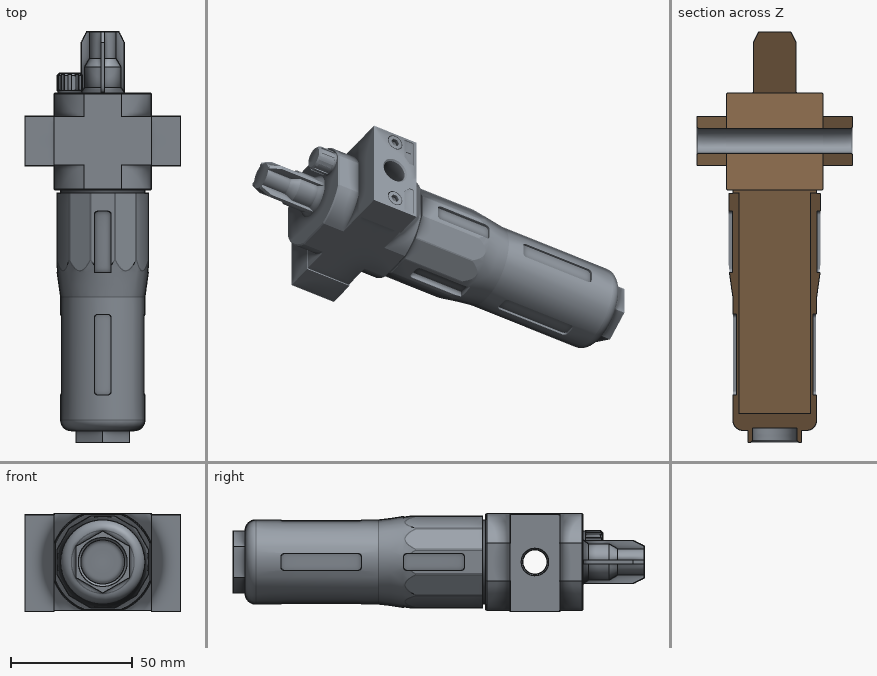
import cadquery as cq
import math


housing_size = 39.9
housing_flat = 15.5
housing_top = 59.3
housing_bottom = 19.3
housing_chamfer = 0.5
housing_middle_width = 20.0

plate_outer_x = 32.03
plate_width = 20.5
plate_drop = 0.5
plate_y = 39.5
port_diameter = 10.0
port_chamfer = 0.7

screw_spacing = 29.9
counterbore_diameter = 7.0
head_diameter = 6.3
head_height = 4.0
shank_diameter = 4.0
shank_length = 13.5
socket_width = 3.2
socket_depth = 1.7
socket_point_depth = 0.8

label_edge_offset = 1.4
label_width = 4.2
label_narrow_width = 1.9
label_slant = 2.5
label_depth = 0.3
upper_label_z = (6.6, 18.5)
lower_label_z = (-6.6, -19.5)
mark_z = 12.3
mark_length = 2.4
mark_width = 0.5

dome_top = 84.5
dome_tip_diameter = 11.0
dome_body_diameter = 15.0
dome_base_diameter = 18.0
dome_tip_length = 11.0
dome_cone_length = 3.5
dome_flare_height = 2.2
rib_thickness = 1.5
rib_span = 17.7
rib_top_span = 13.2
rib_slope_length = 4.5

knob_x = -13.5
knob_z = 7.8
knob_diameter = 10.5
knob_top = 67.5
knob_chamfer = 1.0
knob_groove_count = 10
knob_groove_width = 1.5
knob_groove_depth = 0.5
knob_neck_diameter = 10.0
knob_neck_height = 1.0

bowl_diameter = 29.7
collar_diameter = 34.6
bowl_bottom = -72.7

guard_top = 18.0
guard_side_count = 12
guard_across_flats = 37.7
grip_diameter = 38.9
taper_start = -9.6
taper_end = -24.7
guard_diameter = 34.6
guard_bottom = -79.6
guard_fillet = 4.4
hex_across_flats = 22.1
hex_bottom = -84.5
hex_bore_diameter = 18.0
hex_bore_depth = 5.9
hex_bore_chamfer = 1.0

recess_width = 7.0
recess_corner = 1.5
upper_recess_y = (10.6, -14.5)
lower_recess_y = (-31.8, -64.9)
curved_floor_diameter = 32.6
upper_flat_floor = 17.4
lower_flat_floor = 15.9

housing_half = housing_size / 2
housing_round_radius = math.hypot(housing_half, housing_flat / 2)
screw_z_places = (-screw_spacing / 2, screw_spacing / 2)


def lathe(points):
    """Solid of revolution about Y from (radius, y) points."""
    return cq.Workplane("XY").polyline(points).close().revolve(360, (0, 0), (0, 1))


def along_y(start):
    """Work plane at Y = start that extrudes toward +Y; local x is X and local y is -Z."""
    return cq.Workplane("XZ", origin=(0, start, 0)).transformed(rotate=(180, 0, 0))


def box_between(x_range, y_range, z_range):
    corner = (x_range[0], y_range[0], z_range[0])
    sizes = [high - low for low, high in (x_range, y_range, z_range)]
    return cq.Workplane("XY").box(*sizes, centered=False).translate(corner)


def rod_along_x(start_x, length, diameter, z):
    """Cylinder that runs toward +X at the height z on the plates' middle line."""
    return cq.Workplane("YZ", origin=(start_x, plate_y, z)).circle(diameter / 2).extrude(length)


def cut_screw_shanks(body):
    for z in screw_z_places:
        body = body.cut(rod_along_x(-plate_outer_x, head_height + shank_length, shank_diameter, z))
    return body


def make_housing():
    length = housing_top - housing_bottom
    square = along_y(housing_bottom).rect(housing_size, housing_size).extrude(length)
    barrel = along_y(housing_bottom).circle(housing_round_radius).extrude(length)
    rounded = square.intersect(barrel).faces("<Y or >Y").chamfer(housing_chamfer)
    middle = cq.Workplane("XY", origin=(0, plate_y, 0)).box(housing_size, housing_middle_width, housing_size)
    body = rounded.union(middle)
    body = body.cut(rod_along_x(-housing_half, housing_size, port_diameter, 0))
    return cut_screw_shanks(body)


def make_plate(side):
    """Plate on the -X side (side = -1) or the +X side (side = 1) of the housing."""
    x_range = sorted((side * housing_half, side * plate_outer_x))
    y_range = (plate_y - plate_width / 2, plate_y + plate_width / 2)
    z_range = (-housing_half - plate_drop, housing_half - plate_drop)
    plate = box_between(x_range, y_range, z_range)
    plate = plate.cut(rod_along_x(x_range[0], x_range[1] - x_range[0], port_diameter, 0))
    outer_face = "<X" if side < 0 else ">X"
    return plate.faces(outer_face).edges("%CIRCLE").chamfer(port_chamfer)


def label_recess(inner_z, outer_z):
    """Shallow recess whose end nearest the port has one slanted corner."""
    near_y = plate_y - plate_width / 2 + label_edge_offset
    far_y = near_y + label_width
    slant_z = inner_z + math.copysign(label_slant, inner_z)
    outline = [
        (near_y, outer_z),
        (far_y, outer_z),
        (far_y, slant_z),
        (near_y + label_narrow_width, inner_z),
        (near_y, inner_z),
    ]
    plane = cq.Workplane("YZ", origin=(-plate_outer_x, 0, 0))
    return plane.polyline(outline).close().extrude(label_depth)


def make_screw_plate():
    """The -X plate, with its screw holes and label recesses."""
    plate = make_plate(-1)
    for z in screw_z_places:
        plate = plate.cut(rod_along_x(-plate_outer_x, head_height, counterbore_diameter, z))
    plate = cut_screw_shanks(plate)
    plate = plate.cut(label_recess(*upper_label_z))
    plate = plate.cut(label_recess(*lower_label_z))
    mark_y = plate_y - plate_width / 2 + label_edge_offset + label_width / 2
    mark = cq.Workplane("YZ", origin=(-plate_outer_x, mark_y, mark_z))
    return plate.cut(mark.rect(mark_length, mark_width).extrude(2 * label_depth))


def make_screw(z):
    head = rod_along_x(-plate_outer_x, head_height, head_diameter, z)
    shank = rod_along_x(head_height - plate_outer_x, shank_length, shank_diameter, z)
    socket_plane = cq.Workplane("YZ", origin=(-plate_outer_x, plate_y, z))
    socket_corners = socket_width / math.cos(math.pi / 6)
    socket = socket_plane.polygon(6, socket_corners).extrude(socket_depth)
    point = cq.Solid.makeCone(
        socket_width / 2,
        0,
        socket_point_depth,
        pnt=cq.Vector(socket_depth - plate_outer_x, plate_y, z),
        dir=cq.Vector(1, 0, 0),
    )
    return head.union(shank).cut(socket).cut(cq.Workplane(point))


def make_dome():
    tip_end = dome_top - dome_tip_length
    core = lathe([
        (0, housing_top),
        (dome_base_diameter / 2, housing_top),
        (dome_body_diameter / 2, housing_top + dome_flare_height),
        (dome_body_diameter / 2, tip_end - dome_cone_length),
        (dome_tip_diameter / 2, tip_end),
        (dome_tip_diameter / 2, dome_top),
        (0, dome_top),
    ])
    rib_outline = [
        (-rib_span / 2, housing_top),
        (-rib_span / 2, dome_top - rib_slope_length),
        (-rib_top_span / 2, dome_top),
        (rib_top_span / 2, dome_top),
        (rib_span / 2, dome_top - rib_slope_length),
        (rib_span / 2, housing_top),
    ]
    rib_pair = cq.Workplane("XY").polyline(rib_outline).close().extrude(rib_thickness / 2, both=True)
    crossing_pair = rib_pair.rotate((0, 0, 0), (0, 1, 0), 90)
    return core.union(rib_pair).union(crossing_pair)


def make_knob():
    neck_top = housing_top + knob_neck_height
    knob = along_y(neck_top).circle(knob_diameter / 2).extrude(knob_top - neck_top)
    knob = knob.faces(">Y").chamfer(knob_chamfer)
    knob = knob.union(along_y(housing_top).circle(knob_neck_diameter / 2).extrude(knob_neck_height))
    groove_floor = knob_diameter / 2 - knob_groove_depth
    groove = box_between(
        (-knob_groove_width / 2, knob_groove_width / 2),
        (neck_top, knob_top),
        (groove_floor, knob_diameter),
    )
    for index in range(knob_groove_count):
        knob = knob.cut(groove.rotate((0, 0, 0), (0, 1, 0), index * 360 / knob_groove_count))
    return knob.translate((knob_x, 0, knob_z))


def make_bowl():
    """Bowl inside the guard, where its collar fills the gap between guard and housing."""
    return lathe([
        (0, bowl_bottom),
        (bowl_diameter / 2, bowl_bottom),
        (bowl_diameter / 2, guard_top),
        (collar_diameter / 2, guard_top),
        (collar_diameter / 2, housing_bottom),
        (0, housing_bottom),
    ])


def guard_shell():
    """Twelve-sided grip with blunted corners that runs out into a tapered, round lower part."""
    corner_diameter = guard_across_flats / math.cos(math.pi / guard_side_count)
    radius = guard_diameter / 2
    fillet_middle = guard_fillet * (1 - math.sqrt(0.5))
    round_body = (
        cq.Workplane("XY")
        .moveTo(0, guard_top)
        .lineTo(grip_diameter / 2, guard_top)
        .lineTo(grip_diameter / 2, taper_start)
        .lineTo(radius, taper_end)
        .lineTo(radius, guard_bottom + guard_fillet)
        .threePointArc(
            (radius - fillet_middle, guard_bottom + fillet_middle),
            (radius - guard_fillet, guard_bottom),
        )
        .lineTo(0, guard_bottom)
        .close()
        .revolve(360, (0, 0), (0, 1))
    )
    grip = (
        along_y(guard_bottom)
        .polygon(guard_side_count, corner_diameter)
        .extrude(guard_top - guard_bottom)
        .rotate((0, 0, 0), (0, 1, 0), 180 / guard_side_count)
    )
    return round_body.intersect(grip)


def recess_block(y_range, floor, rounded_edges="|Z"):
    """Rounded slot along Y that cuts from +Z down to the floor height."""
    start, end = y_range
    half_width = recess_width / 2
    block = box_between((-half_width, half_width), (end, start), (floor, guard_across_flats))
    return block.edges(rounded_edges).fillet(recess_corner)


def cut_curved_recesses(guard):
    """Recesses on the +Z and -Z sides, with floors that follow one cylinder."""
    length = guard_top - guard_bottom
    floor_cylinder = along_y(guard_bottom).circle(curved_floor_diameter / 2).extrude(length)
    upper = recess_block(upper_recess_y, 0, "|Z and >Y")
    lower = recess_block(lower_recess_y, 0)
    for block in (upper, lower):
        cutter = block.cut(floor_cylinder)
        for angle in (0, 180):
            guard = guard.cut(cutter.rotate((0, 0, 0), (0, 1, 0), angle))
    return guard


def cut_flat_recesses(guard):
    """Recesses on the -X and +X sides, with flat floors."""
    upper = recess_block(upper_recess_y, upper_flat_floor)
    lower = recess_block(lower_recess_y, lower_flat_floor)
    for cutter in (upper, lower):
        for angle in (-90, 90):
            guard = guard.cut(cutter.rotate((0, 0, 0), (0, 1, 0), angle))
    return guard


def make_guard():
    guard = guard_shell()
    hex_corners = hex_across_flats / math.cos(math.pi / 6)
    hex_end = (
        along_y(hex_bottom)
        .polygon(6, hex_corners)
        .extrude(guard_bottom - hex_bottom)
        .rotate((0, 0, 0), (0, 1, 0), 30)
    )
    guard = guard.union(hex_end)
    guard = guard.cut(along_y(hex_bottom).circle(hex_bore_diameter / 2).extrude(hex_bore_depth))
    guard = guard.faces("<Y").edges("%CIRCLE").chamfer(hex_bore_chamfer)
    guard = guard.cut(along_y(bowl_bottom).circle(bowl_diameter / 2).extrude(guard_top - bowl_bottom))
    guard = cut_curved_recesses(guard)
    return cut_flat_recesses(guard)


housing = make_housing()
screw_plate = make_screw_plate()
plain_plate = make_plate(1)
screws = [make_screw(z) for z in screw_z_places]
dome = make_dome()
knob = make_knob()
bowl = make_bowl()
guard = make_guard()

result = cq.Compound.makeCompound([
    housing.val(),
    screw_plate.val(),
    plain_plate.val(),
    *[screw.val() for screw in screws],
    dome.val(),
    knob.val(),
    bowl.val(),
    guard.val(),
])